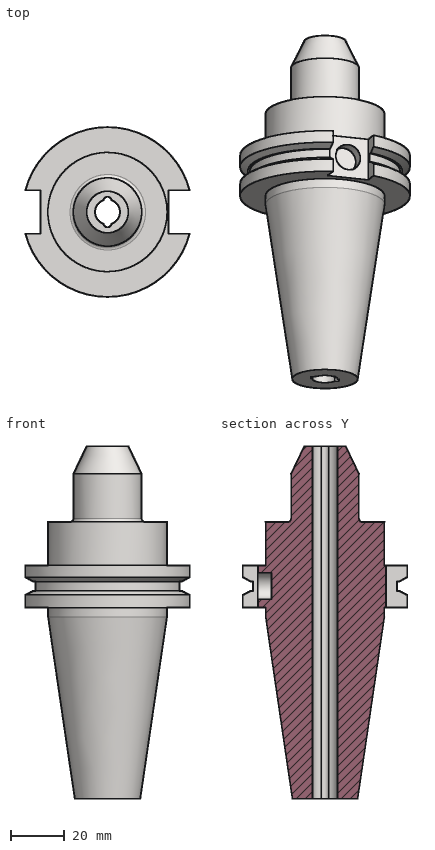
import cadquery as cq

total_height = 131.8
taper_top = 68.1
flange_bottom = 71.4
flange_top = 87.2
collar_top = 103.4
nose_cone_bottom = 121.3

taper_small_radius = 12.3
taper_large_radius = 22.3
flange_radius = 31.8
collar_radius = 22.3
nose_radius = 12.8
nose_tip_radius = 7.8
nose_root_fillet = 1.3

groove_floor_radius = 28.0
groove_step_radius = 28.9
groove_floor_height = 3.4
groove_mouth_height = 6.6
groove_middle = 79.5

slot_width = 16.1
left_slot_floor = 25.0
right_slot_floor = 22.8

pocket_diameter = 9.7
pocket_depth = 5.0

bore_radius = 4.6
channel_radius = 1.5
channel_offset = 4.2


def turned_body():
    groove_floor_half = groove_floor_height / 2
    groove_mouth_half = groove_mouth_height / 2
    profile = [
        (0, 0),
        (taper_small_radius, 0),
        (taper_large_radius, taper_top),
        (taper_large_radius, flange_bottom),
        (flange_radius, flange_bottom),
        (flange_radius, groove_middle - groove_mouth_half),
        (groove_step_radius, groove_middle - groove_floor_half),
        (groove_floor_radius, groove_middle - groove_floor_half),
        (groove_floor_radius, groove_middle + groove_floor_half),
        (groove_step_radius, groove_middle + groove_floor_half),
        (flange_radius, groove_middle + groove_mouth_half),
        (flange_radius, flange_top),
        (collar_radius, flange_top),
        (collar_radius, collar_top),
        (nose_radius, collar_top),
        (nose_radius, nose_cone_bottom),
        (nose_tip_radius, total_height),
        (0, total_height),
    ]
    body = cq.Workplane("XZ").polyline(profile).close().revolve(360, (0, 0), (0, 1))
    nose_root = cq.selectors.RadiusNthSelector(0)
    collar_face_box = cq.selectors.BoxSelector(
        (-collar_radius, -collar_radius, collar_top - nose_root_fillet),
        (collar_radius, collar_radius, collar_top + nose_root_fillet),
        boundingbox=True,
    )
    return body.edges(collar_face_box).edges("%CIRCLE").edges(nose_root).fillet(nose_root_fillet)


def drive_slot(side, floor_distance):
    """Cutter for one slot; side is -1 for left and +1 for right."""
    length = flange_radius
    height = flange_top - flange_bottom
    return (
        cq.Workplane("XY")
        .box(length, slot_width, height, centered=(True, True, False))
        .translate((side * (floor_distance + length / 2), 0, flange_bottom))
    )


def slot_pocket():
    return (
        cq.Workplane("YZ", origin=(-left_slot_floor, 0, groove_middle))
        .circle(pocket_diameter / 2)
        .extrude(pocket_depth)
    )


def bore():
    channel_centers = [(0, -channel_offset), (0, channel_offset)]
    hole = cq.Workplane("XY").circle(bore_radius).extrude(total_height)
    channels = cq.Workplane("XY").pushPoints(channel_centers).circle(channel_radius).extrude(total_height)
    return hole.union(channels)


result = (
    turned_body()
    .cut(drive_slot(-1, left_slot_floor))
    .cut(drive_slot(1, right_slot_floor))
    .cut(slot_pocket())
    .cut(bore())
)